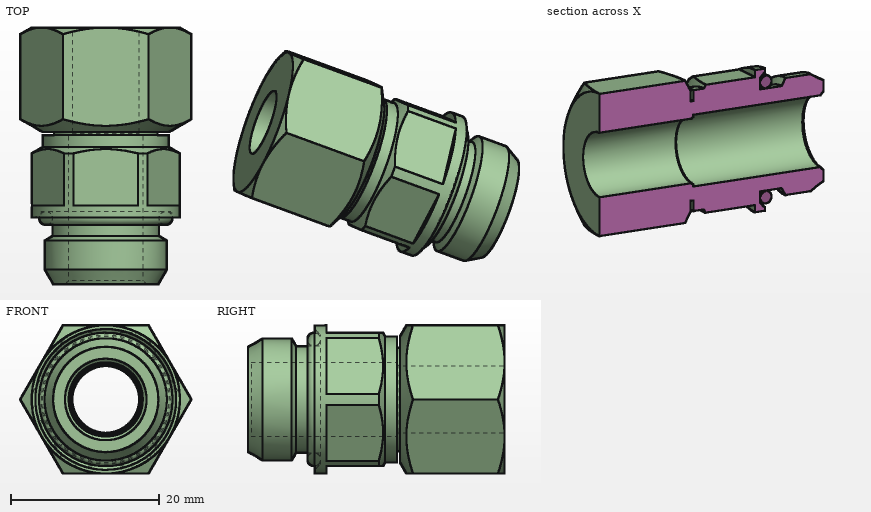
import cadquery as cq
import math


TAN_30 = math.tan(math.radians(30))
COS_30 = math.cos(math.radians(30))

total_length = 34.6
thread_end = 5.9
collar_front = 9.0
collar_back = 10.6
shoulder_front = 18.5
shoulder_back = 20.1
nut_front = 20.5

thread_radius = 8.25
nose_length = 2.0
nose_radius = thread_radius - nose_length * TAN_30
undercut_radius = 7.2
undercut_slope_end = thread_end + (thread_radius - undercut_radius) * TAN_30

ring_section_radius = 0.9
ring_centre_radius = undercut_radius + ring_section_radius
ring_centre_y = 8.9

seat_floor_y = ring_centre_y + ring_section_radius
seat_mouth_radius = 9.5
seat_floor_radius = seat_mouth_radius - (seat_floor_y - collar_front)

collar_radius = 10.0
wrench_across_flats = 18.0
shoulder_radius = 8.52
wrench_bevel_length = (collar_radius - shoulder_radius) * TAN_30
neck_radius = 7.0

nut_across_flats = 20.0
nut_corner_radius = nut_across_flats / 2 / COS_30
nut_front_face_radius = shoulder_radius
nut_back_face_radius = nut_across_flats / 2
nut_front_bevel = (nut_corner_radius - nut_front_face_radius) * TAN_30
nut_back_bevel = (nut_corner_radius - nut_back_face_radius) * TAN_30

milling_margin = 1.0

wide_bore_radius = 5.0
narrow_bore_radius = 4.5
bore_mouth_chamfer = 0.5
bore_step_chamfer = 0.25
bore_step_y = shoulder_back


def hexagon_prism(across_flats, y_start, y_end):
    """Hexagonal bar along Y with corners on the X axis and flats facing Z."""
    return (
        cq.Workplane("XZ", origin=(0, y_start, 0))
        .polygon(6, across_flats / COS_30)
        .extrude(y_start - y_end)
    )


def disc(radius, y_start, y_end):
    """Round bar along Y."""
    return cq.Workplane("XZ", origin=(0, y_start, 0)).circle(radius).extrude(y_start - y_end)


def outside_hexagon(across_flats, y_start, y_end, blank_radius):
    """What is milled off a round blank to leave a hexagon."""
    blank = disc(blank_radius, y_start, y_end)
    return blank.cut(hexagon_prism(across_flats, y_start, y_end))


def make_turned_blank():
    """Fitting as turned, before either hexagon is milled."""
    outside = (
        cq.Workplane("XY")
        .moveTo(wide_bore_radius + bore_mouth_chamfer, 0)
        .lineTo(nose_radius, 0)
        .lineTo(thread_radius, nose_length)
        .lineTo(thread_radius, thread_end)
        .lineTo(undercut_radius, undercut_slope_end)
        .lineTo(undercut_radius, seat_floor_y)
        .lineTo(seat_floor_radius, seat_floor_y)
        .lineTo(seat_mouth_radius, collar_front)
        .lineTo(collar_radius, collar_front)
        .lineTo(collar_radius, shoulder_front - wrench_bevel_length)
        .lineTo(shoulder_radius, shoulder_front)
        .lineTo(shoulder_radius, shoulder_back)
        .lineTo(neck_radius, shoulder_back)
        .lineTo(neck_radius, nut_front)
        .lineTo(nut_front_face_radius, nut_front)
        .lineTo(nut_corner_radius, nut_front + nut_front_bevel)
        .lineTo(nut_corner_radius, total_length - nut_back_bevel)
        .lineTo(nut_back_face_radius, total_length)
    )
    outline = (
        outside
        .lineTo(narrow_bore_radius, total_length)
        .lineTo(narrow_bore_radius, bore_step_y + bore_step_chamfer)
        .lineTo(narrow_bore_radius + bore_step_chamfer, bore_step_y)
        .lineTo(wide_bore_radius, bore_step_y)
        .lineTo(wide_bore_radius, bore_mouth_chamfer)
    )
    return outline.close().revolve(360, (0, 0, 0), (0, 1, 0))


def make_fitting():
    """Turned blank with the wrench flats and the large hexagon milled."""
    blank_radius = nut_corner_radius + milling_margin
    wrench_waste = outside_hexagon(wrench_across_flats, collar_back, shoulder_front, blank_radius)
    nut_waste = outside_hexagon(nut_across_flats, nut_front, total_length, blank_radius)
    return make_turned_blank().cut(wrench_waste).cut(nut_waste)


def make_o_ring():
    """Round-section ring around the undercut, partly sunk in the collar."""
    return (
        cq.Workplane("XY")
        .center(ring_centre_radius, ring_centre_y)
        .circle(ring_section_radius)
        .revolve(360, (-ring_centre_radius, 0, 0), (-ring_centre_radius, 1, 0))
    )


fitting = make_fitting()
o_ring = make_o_ring()

result = cq.Compound.makeCompound([fitting.val(), o_ring.val()])